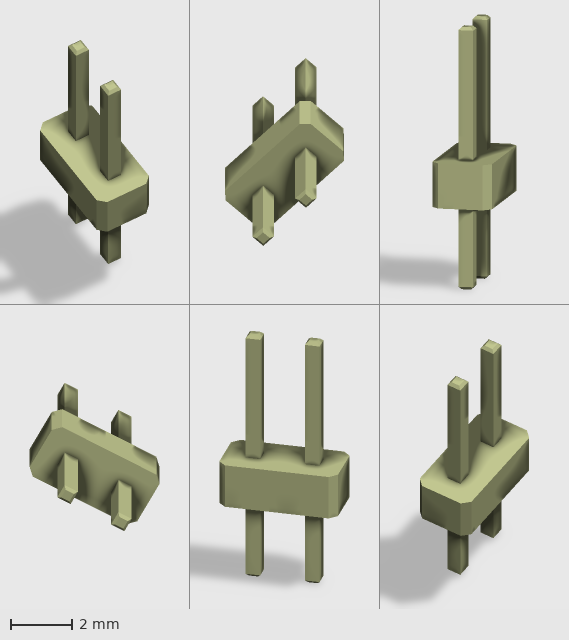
import cadquery as cq

pin_count = 2
pitch = 2.0
pin_width = 0.5
pin_tip_chamfer = 0.1
pin_length = 8.7
pin_below_body = 2.8

body_length = pin_count * pitch
body_width = pitch
body_height = 1.5
body_corner_chamfer = 0.25


def make_body():
    """Block with its underside at Z = 0 and its vertical corners chamfered."""
    block = cq.Workplane("XY").box(body_length, body_width, body_height, centered=(True, True, False))
    return block.edges("|Z").chamfer(body_corner_chamfer)


def make_pin(x):
    """Square pin through the block, tapered at both tips."""
    pin = cq.Workplane("XY").box(pin_width, pin_width, pin_length, centered=(True, True, False))
    pin = pin.faces("<Z or >Z").edges().chamfer(pin_tip_chamfer)
    return pin.translate((x, 0, -pin_below_body))


result = make_body()
for index in range(pin_count):
    pin_x = (index - (pin_count - 1) / 2) * pitch
    result = result.union(make_pin(pin_x))